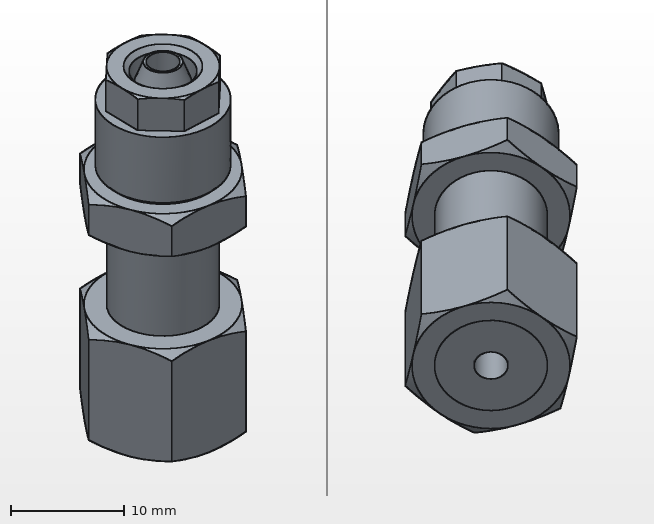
import cadquery as cq
import math

total_height = 38.0
swivel_nut_height = 12.0
collar_bottom = 22.0
collar_top = 26.5
cap_shoulder = 34.0
cap_top = 37.5

hex_flats = 14.0
octagon_flats = 10.0
hex_chamfer_angle = 30.0
octagon_chamfer_angle = 20.0

neck_diameter = 10.0
cap_diameter = 12.0
stem_diameter = 6.0
through_bore = 3.0
cone_tip_diameter = 3.5
cone_base_diameter = 5.0
cap_mouth_diameter = 7.0

cone_length = 2.0
cap_bottom_chamfer = 0.5
mouth_chamfer = (cap_mouth_diameter - stem_diameter) / 2
cone_base = total_height - cone_length


def cylinder(diameter, bottom, top):
    """Upright cylinder on the Z axis between two levels."""
    return cq.Workplane("XY").workplane(offset=bottom).circle(diameter / 2).extrude(top - bottom)


def prism(sides, flats, bottom, top, chamfer_angle, chamfer_bottom):
    """Regular prism with a corner on +X, its corners turned off at a shallow angle."""
    corner_radius = flats / 2 / math.cos(math.pi / sides)
    flat_radius = flats / 2
    drop = (corner_radius - flat_radius) * math.tan(math.radians(chamfer_angle))
    blank = (
        cq.Workplane("XY").workplane(offset=bottom)
        .polygon(sides, 2 * corner_radius).extrude(top - bottom)
    )
    if chamfer_bottom:
        lower_edge = [(flat_radius, bottom), (corner_radius, bottom + drop)]
    else:
        lower_edge = [(corner_radius, bottom)]
    turned = (
        cq.Workplane("XZ")
        .polyline([(0, bottom), *lower_edge, (corner_radius, top - drop), (flat_radius, top), (0, top)])
        .close().revolve(360, (0, 0), (0, 1))
    )
    return blank.intersect(turned)


def make_fitting_body():
    """Neck, hexagonal collar, stem and narrower spigot with a conical tip, bored through."""
    neck = cylinder(neck_diameter, 0, collar_bottom)
    collar = prism(6, hex_flats, collar_bottom, collar_top, hex_chamfer_angle, chamfer_bottom=True)
    stem = cylinder(stem_diameter, collar_top, cap_shoulder)
    spigot = cylinder(cone_base_diameter, cap_shoulder, cone_base)
    cone = (
        cq.Workplane("XY").workplane(offset=cone_base).circle(cone_base_diameter / 2)
        .workplane(offset=cone_length).circle(cone_tip_diameter / 2).loft()
    )
    bore = cylinder(through_bore, 0, total_height)
    return neck.union(collar).union(stem).union(spigot).union(cone).cut(bore)


def make_cap_nut():
    """Round nut with an octagonal head and a countersunk bore for the stem."""
    skirt = cylinder(cap_diameter, collar_top, cap_shoulder).faces("<Z").chamfer(cap_bottom_chamfer)
    head = prism(8, octagon_flats, cap_shoulder, cap_top, octagon_chamfer_angle, chamfer_bottom=False)
    bore = cylinder(stem_diameter, collar_top, cap_top)
    mouth = (
        cq.Workplane("XY").workplane(offset=cap_top - mouth_chamfer).circle(stem_diameter / 2)
        .workplane(offset=mouth_chamfer).circle(cap_mouth_diameter / 2).loft()
    )
    return skirt.union(head).cut(bore).cut(mouth)


def make_swivel_nut():
    """Long hexagonal nut around the lower end of the neck."""
    blank = prism(6, hex_flats, 0, swivel_nut_height, hex_chamfer_angle, chamfer_bottom=True)
    return blank.cut(cylinder(neck_diameter, 0, swivel_nut_height))


fitting_body = make_fitting_body()
cap_nut = make_cap_nut()
swivel_nut = make_swivel_nut()

result = cq.Compound.makeCompound([fitting_body.val(), cap_nut.val(), swivel_nut.val()])